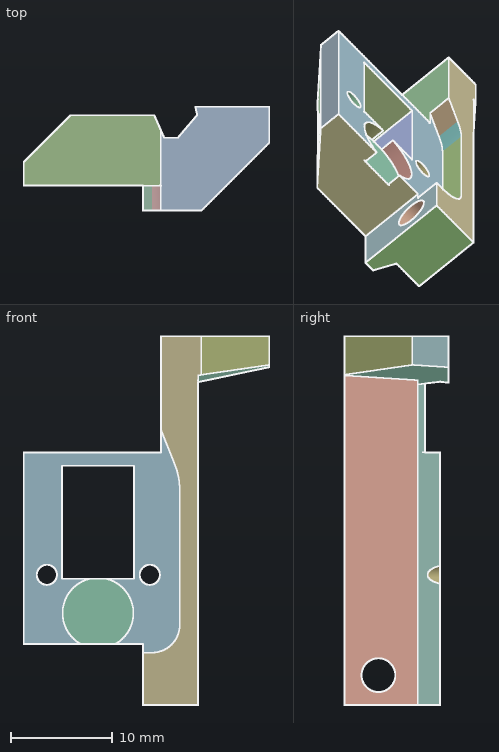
import cadquery as cq

width = 24.3
depth = 10.3
height = 36.5

post_left = 13.58
post_right = 17.25
foot_left = 11.8
post_back = 7.23

plate_back = 9.45
plate_bottom = 6.02
plate_top = 25.0
corner_chamfer = 4.65
bevel_start = 12.92
bevel_end = 13.9
bevel_slope = (plate_back - post_back) / (bevel_end - bevel_start)

front_slope_start = 17.6
groove_floor_end = 15.25
groove_lip = 17.15
head_back_left = 16.97
head_underside_z = 31.95
underside_rise_x = 0.21
underside_fall_y = 0.065

recess_depth = 2.5
recess_right = 15.45
recess_bottom = 5.2
recess_radius = 2.75
recess_top = 27.23
recess_bend_x = 14.9
recess_bend_top = 23.95
recess_bend_bottom = 21.35

window_left = 3.8
window_right = 10.9
window_bottom = 12.52
window_top = 23.65
screw_xs = (2.3, 12.5)
screw_z = 12.9
screw_diameter = 1.97
disc_x = (window_left + window_right) / 2
disc_z = 9.1
disc_radius = 3.5
disc_depth = 1.5
cross_hole_y = 3.35
cross_hole_z = 2.95
cross_hole_diameter = 3.32


def block(x0, x1, y0, y1, z0, z1):
    """Box between opposite corners."""
    return cq.Workplane("XY").box(x1 - x0, y1 - y0, z1 - z0, centered=False).translate((x0, y0, z0))


def front_plane(y):
    """XZ sketch plane at the given Y; negative extrusion goes toward +Y."""
    return cq.Workplane(cq.Plane((0, y, 0), xDir=(1, 0, 0), normal=(0, -1, 0)))


def make_body():
    """Plate, post and foot, with the groove stepped out of the back."""
    outline = (
        cq.Workplane("XY")
        .polyline([
            (0, 0),
            (post_right, 0),
            (post_right, post_back),
            (bevel_end, post_back),
            (bevel_start, plate_back),
            (corner_chamfer, plate_back),
            (0, plate_back - corner_chamfer),
        ])
        .close()
        .extrude(height)
    )
    silhouette = block(0, post_right, 0, depth, plate_bottom, plate_top)
    silhouette = silhouette.union(block(post_left, post_right, 0, depth, 0, height))
    silhouette = silhouette.union(block(foot_left, post_right, 0, depth, 0, plate_bottom))
    return outline.intersect(silhouette)


def make_head():
    """Hooked head above a plane that rises to +X and falls to +Y."""
    outline = (
        cq.Workplane("XY")
        .moveTo(post_left, 0)
        .lineTo(front_slope_start, 0)
        .lineTo(width, width - front_slope_start)
        .lineTo(width, depth)
        .lineTo(head_back_left, depth)
        .lineTo(groove_lip, plate_back)
        .lineTo(groove_floor_end, post_back)
        .lineTo(bevel_end, post_back)
        .lineTo(post_left, post_back + (bevel_end - post_left) * bevel_slope)
        .close()
        .extrude(height)
    )
    normal = (-underside_rise_x, underside_fall_y, 1)
    origin = (post_right, depth, head_underside_z)
    above = cq.Workplane(cq.Plane(origin, xDir=(1, 0, underside_rise_x), normal=normal))
    cover = 4 * width
    return outline.intersect(above.rect(cover, cover).extrude(height))


def make_recess():
    """Front recess with a rounded lower corner and a curved, slanting upper end."""
    return (
        front_plane(0)
        .moveTo(0, recess_bottom)
        .lineTo(recess_right - recess_radius, recess_bottom)
        .tangentArcPoint((recess_right, recess_bottom + recess_radius), relative=False)
        .lineTo(recess_right, recess_bend_bottom)
        .tangentArcPoint((recess_bend_x, recess_bend_top), relative=False)
        .lineTo(post_left, recess_top)
        .lineTo(0, recess_top)
        .close()
        .extrude(-recess_depth)
    )


window = block(window_left, window_right, 0, depth, window_bottom, window_top)
screw_holes = (
    front_plane(0)
    .pushPoints([(x, screw_z) for x in screw_xs])
    .circle(screw_diameter / 2)
    .extrude(-depth)
)
disc_pocket = front_plane(recess_depth).center(disc_x, disc_z).circle(disc_radius).extrude(-disc_depth)
cross_hole = (
    cq.Workplane("YZ")
    .center(cross_hole_y, cross_hole_z)
    .circle(cross_hole_diameter / 2)
    .extrude(width)
)

result = make_body().union(make_head())
for cutter in (make_recess(), window, screw_holes, disc_pocket, cross_hole):
    result = result.cut(cutter)